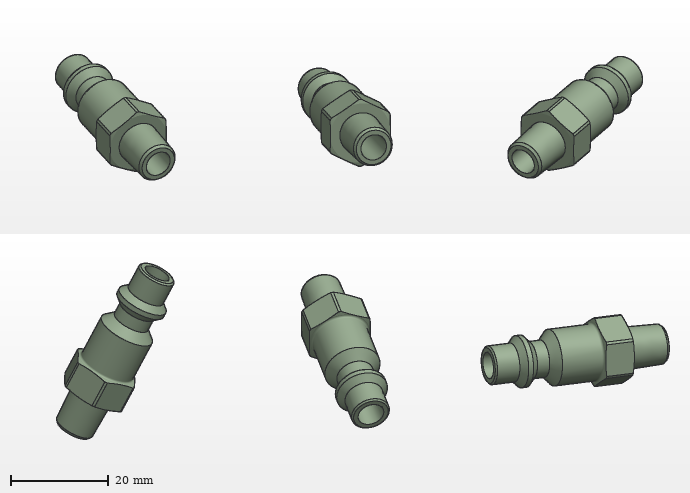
import cadquery as cq
import math

total_length = 39.0
bore_radius = 5.5 / 2

nose_radius = 8.1 / 2
nose_chamfer = 0.35
collar_radius = 10.9 / 2
neck_radius = 7.8 / 2
body_radius = 11.8 / 2

collar_flat_start = 6.75
collar_flat_end = 7.85
collar_start = collar_flat_start - (collar_radius - nose_radius)
neck_start = collar_flat_end + (collar_radius - neck_radius)
body_start = 14.1
neck_end = body_start - (body_radius - neck_radius)

hex_start = 23.55
hex_end = 30.0
hex_across_flats = 13.0
hex_turned_radius = 14.65 / 2
hex_face_radius = 12.87 / 2
hex_chamfer_length = 0.25
body_fillet = 0.45

thread_taper = 1 / 16
thread_end_radius = 8.4 / 2
thread_chamfer_length = 0.6
thread_tip_radius = 7.5 / 2
thread_chamfer_start = total_length - thread_chamfer_length
thread_root_radius = thread_end_radius + (thread_chamfer_start - hex_end) * thread_taper / 2


def revolve_about_x(profile):
    """Turn a closed XY profile fully around the X axis."""
    return profile.close().revolve(360, (0, 0, 0), (1, 0, 0))


def make_turned_core():
    """Nose, collar, neck, body with its fillet against the hexagon, and thread stub."""
    fillet_start = hex_start - body_fillet
    fillet_top = body_radius + body_fillet
    fillet_offset = body_fillet * math.sqrt(0.5)
    fillet_middle = (fillet_start + fillet_offset, fillet_top - fillet_offset)
    profile = (
        cq.Workplane("XY")
        .moveTo(0, 0)
        .lineTo(0, nose_radius - nose_chamfer)
        .lineTo(nose_chamfer, nose_radius)
        .lineTo(collar_start, nose_radius)
        .lineTo(collar_flat_start, collar_radius)
        .lineTo(collar_flat_end, collar_radius)
        .lineTo(neck_start, neck_radius)
        .lineTo(neck_end, neck_radius)
        .lineTo(body_start, body_radius)
        .lineTo(fillet_start, body_radius)
        .threePointArc(fillet_middle, (hex_start, fillet_top))
        .lineTo(hex_end, fillet_top)
        .lineTo(hex_end, thread_root_radius)
        .lineTo(thread_chamfer_start, thread_end_radius)
        .lineTo(total_length, thread_tip_radius)
        .lineTo(total_length, 0)
    )
    return revolve_about_x(profile)


def make_hexagon():
    """Hexagon with corners up and down, turned to a round envelope with end chamfers."""
    across_corners = hex_across_flats / math.cos(math.pi / 6)
    prism = (
        cq.Workplane("YZ", origin=(hex_start, 0, 0))
        .transformed(rotate=(0, 0, 90))
        .polygon(6, across_corners)
        .extrude(hex_end - hex_start)
    )
    envelope = (
        cq.Workplane("XY")
        .moveTo(hex_start, 0)
        .lineTo(hex_start, hex_face_radius)
        .lineTo(hex_start + hex_chamfer_length, hex_turned_radius)
        .lineTo(hex_end - hex_chamfer_length, hex_turned_radius)
        .lineTo(hex_end, hex_face_radius)
        .lineTo(hex_end, 0)
    )
    return prism.intersect(revolve_about_x(envelope))


def make_bore():
    """Straight bore through the full length."""
    return cq.Workplane("YZ").circle(bore_radius).extrude(total_length)


result = make_turned_core().union(make_hexagon()).cut(make_bore())